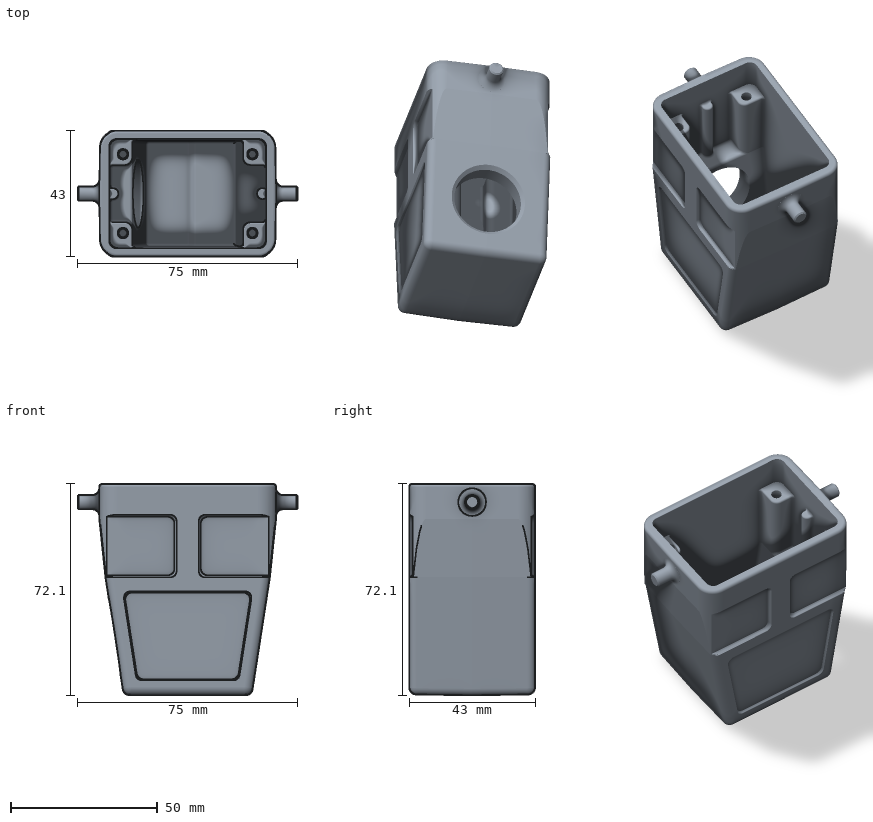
import cadquery as cq
import math

height = 72.1
half_width = 43.0 / 2
rim_half_length = 30.15
taper_start_z = 60.15
knee_z = 40.3
knee_half_length = 28.05
base_half_length = 21.8
parting_draft = 0.8
draft_allowance = 1.5
rim_corner_radius = 6.0
lower_edge_radius = 2.6
rim_round = 1.05
wall_slope = (knee_half_length - base_half_length) / knee_z
wall_angle = math.atan(wall_slope)

overall_length = 75.0
pin_radius = 2.5
pin_z = 65.85
pin_chamfer = 0.45
pin_flare = 2.25

recess_draft = 30.0
recess_corner_radius = 2.8
window_depth = 1.3
window_inner_x = 3.75
window_top_z = 61.6
window_bottom_z = 40.2
panel_depth = 0.75
panel_top_z = 35.5
panel_bottom_z = 5.1
panel_top_half = 22.1
panel_bottom_half = panel_top_half - (panel_top_z - panel_bottom_z) * wall_slope

cavity_half_length = 26.8
cavity_half_width = 18.7
cavity_corner_radius = 2.8
cavity_draft = 0.75
floor_round = 0.8
boss_thickness = 8.2
boss_ledge_z = 35.25
ledge_round = 1.0
low_floor_z = 3.15
high_floor_z = 5.25
step_start_x = 0.2
step_end_x = 2.5
far_wall_top_z = 48.0
far_wall_foot_x = 16.3

post_top_z = 60.75
post_face_x = 18.9
post_face_y = 9.75
post_corner_radius = 2.5
post_root_radius = 1.0
post_top_round = 0.6
ledge_root_radius = 0.9
screw_x = 22.05 - post_face_x
screw_y = 13.4 - post_face_y
screw_hole_radius = 1.8
screw_hole_draft = 1.4
screw_hole_depth = 15.0
rib_radius = 1.9
rib_x = 25.5
rib_base_radius = 0.75
rib_top_round = 0.5

entry_z = 20.25
entry_radius = 11.6
entry_chamfer = 1.35


def wall_x(z):
    """Half length of the outer lower wall at height z."""
    return base_half_length + wall_slope * z


def drafted_half(points):
    """Extrude an XZ outline from y = 0 toward -Y, shrinking it by the parting draft."""
    return cq.Workplane("XZ").polyline(points).close().extrude(half_width, taper=parting_draft)


def mirrored_in_x(right_points):
    """Close an outline given by its +X points, listed from bottom to top."""
    return right_points + [(-x, z) for x, z in reversed(right_points)]


def slab(bottom, top):
    """A block covering the whole part between two heights."""
    return (
        cq.Workplane("XY", origin=(0, 0, bottom))
        .rect(overall_length, overall_length)
        .extrude(top - bottom)
    )


def both_halves(half):
    """Join a -Y half to its mirror image."""
    return half.union(half.mirror("XZ"))


def box_in_each_corner(low, high):
    """Select edges centred in a box or in its mirror images across x = 0 and y = 0."""
    boxes = [
        cq.selectors.BoxSelector(
            (sign_x * low[0], sign_y * low[1], low[2]),
            (sign_x * high[0], sign_y * high[1], high[2]),
        )
        for sign_x in (1, -1)
        for sign_y in (1, -1)
    ]
    return boxes[0] + boxes[1] + boxes[2] + boxes[3]


def upper_shell():
    """Skirt whose tapering end walls cut into the round rim corners."""
    over_top_z = height + draft_allowance
    outline = mirrored_in_x([
        (base_half_length, 0), (knee_half_length, knee_z),
        (rim_half_length, taper_start_z), (rim_half_length, over_top_z),
    ])
    block = drafted_half(mirrored_in_x([(rim_half_length, 0), (rim_half_length, over_top_z)]))
    rounded_block = block.faces("<Y").edges("<X or >X").fillet(rim_corner_radius)
    half = drafted_half(outline).intersect(rounded_block).intersect(slab(knee_z, height))
    return both_halves(half).faces(">Z").edges().fillet(rim_round)


def lower_shell():
    """Wedge below the knee with every outer edge rounded."""
    top_z = knee_z + draft_allowance
    outline = mirrored_in_x([(base_half_length, 0), (wall_x(top_z), top_z)])
    half = drafted_half(outline).intersect(slab(0, knee_z))
    return both_halves(half.edges("not (>Y or >Z)").fillet(lower_edge_radius))


def open_space():
    """Cavity without its posts and ribs: a stepped floor and a ledge over the entry boss."""
    boss_shift = boss_thickness / math.cos(wall_angle)
    ledge_end_x = boss_shift - wall_x(boss_ledge_z)
    profile = [
        (-cavity_half_length, height),
        (-cavity_half_length, boss_ledge_z),
        (ledge_end_x, boss_ledge_z),
        (boss_shift - wall_x(low_floor_z), low_floor_z),
        (step_start_x, low_floor_z),
        (step_end_x, high_floor_z),
        (far_wall_foot_x, high_floor_z),
        (cavity_half_length, far_wall_top_z),
        (cavity_half_length, height),
    ]
    ledge_edge = cq.selectors.NearestToPointSelector((ledge_end_x, 0, boss_ledge_z))
    lengthwise = (
        cq.Workplane("XZ")
        .polyline(profile)
        .close()
        .extrude(half_width, both=True)
        .edges(ledge_edge)
        .fillet(ledge_round)
    )
    drafted_plan = (
        cq.Workplane("XY", origin=(0, 0, height))
        .rect(2 * cavity_half_length, 2 * cavity_half_width)
        .extrude(-height, taper=cavity_draft)
        .edges("not #Z")
        .fillet(cavity_corner_radius)
    )
    return lengthwise.intersect(drafted_plan)


def screw_posts():
    """Four corner posts, each with a blind tapered screw hole."""
    post = (
        cq.Workplane("XY")
        .center(post_face_x, post_face_y)
        .rect(cavity_half_length - post_face_x, half_width - post_face_y, centered=False)
        .extrude(post_top_z)
        .edges("|Z and <X and <Y")
        .fillet(post_corner_radius)
    )
    hole = (
        cq.Workplane("XY", origin=(post_face_x + screw_x, post_face_y + screw_y, post_top_z))
        .circle(screw_hole_radius)
        .extrude(-screw_hole_depth, taper=screw_hole_draft)
    )
    post = post.cut(hole)
    pair = post.union(post.mirror("YZ"))
    return pair.union(pair.mirror("XZ"))


def guide_ribs():
    """Half-round ribs on the inner end walls, rounded at the top."""
    return (
        cq.Workplane("XY")
        .pushPoints([(-rib_x, 0), (rib_x, 0)])
        .circle(rib_radius)
        .extrude(post_top_z)
        .faces(">Z")
        .edges()
        .fillet(rib_top_round)
    )


def cavity():
    """Open space inside the hood, with the posts and ribs left standing in it."""
    side_roots = box_in_each_corner((18.75, 17.25, 22.5), (19.5, 19.5, 56.25))
    end_roots = box_in_each_corner((26.25, 9.4, 37.5), (27, 10.1, 56.25))
    ledge_root = cq.selectors.BoxSelector(
        (-27, -post_face_y, boss_ledge_z - 0.4),
        (-25.5, post_face_y, boss_ledge_z + 0.4),
    )
    post_tops = box_in_each_corner((18.75, 12.3, post_top_z - 0.1), (19.5, 18, post_top_z + 0.1))
    floor_edges = cq.selectors.BoxSelector((-18, -half_width, 0), (18.4, half_width, high_floor_z + 0.75))
    rib_base = cq.selectors.BoxSelector(
        (-24.75, -rib_radius, boss_ledge_z - 0.4),
        (-23.25, rib_radius, boss_ledge_z + 0.4),
    )
    space = open_space().cut(screw_posts())
    space = space.edges(side_roots).fillet(post_root_radius)
    space = space.edges(end_roots).fillet(post_root_radius)
    space = space.edges(ledge_root).fillet(ledge_root_radius)
    space = space.edges(post_tops).fillet(post_top_round)
    space = space.edges(floor_edges).fillet(floor_round)
    return space.cut(guide_ribs()).edges(rib_base).fillet(rib_base_radius)


def locking_pins():
    """Round pins on both ends, flaring where they meet the wall."""
    wall = rim_half_length
    tip = overall_length / 2
    root = wall - pin_flare
    pin = (
        cq.Workplane("XY")
        .moveTo(root, 0)
        .lineTo(root, pin_radius + pin_flare)
        .lineTo(wall, pin_radius + pin_flare)
        .radiusArc((wall + pin_flare, pin_radius), -pin_flare)
        .lineTo(tip - pin_chamfer, pin_radius)
        .lineTo(tip, pin_radius - pin_chamfer)
        .lineTo(tip, 0)
        .close()
        .revolve(360, (0, 0, 0), (1, 0, 0))
        .translate((0, 0, pin_z))
    )
    return pin.union(pin.mirror("YZ"))


def face_recess(points, depth):
    """Recess in the -Y face with a round-cornered XZ outline and sloping sides."""
    return (
        cq.Workplane("XZ", origin=(0, -half_width, 0))
        .polyline(points)
        .close()
        .extrude(-depth, taper=recess_draft)
        .edges("not (>Y or <Y)")
        .fillet(recess_corner_radius)
    )


def recesses():
    """Two windows running out past the corners and one tapered panel, on both broad faces."""
    window = face_recess(
        [
            (window_inner_x, window_bottom_z), (overall_length / 2, window_bottom_z),
            (overall_length / 2, window_top_z), (window_inner_x, window_top_z),
        ],
        window_depth,
    )
    panel = face_recess(
        mirrored_in_x([(panel_bottom_half, panel_bottom_z), (panel_top_half, panel_top_z)]),
        panel_depth,
    )
    front = window.union(window.mirror("YZ")).union(panel)
    return front.union(front.mirror("XZ"))


def cable_entry():
    """Bore square to the -X wall, chamfered at its mouth."""
    mouth = cq.Plane(
        origin=(-wall_x(entry_z), 0, entry_z),
        xDir=(0, 1, 0),
        normal=(math.cos(wall_angle), 0, math.sin(wall_angle)),
    )
    bore = cq.Workplane(mouth).circle(entry_radius).extrude(boss_thickness + 0.75)
    lead_in = cq.Workplane(mouth).circle(entry_radius + entry_chamfer).extrude(entry_chamfer, taper=45)
    return bore.union(lead_in)


shell = upper_shell().union(lower_shell()).union(locking_pins())
result = shell.cut(recesses()).cut(cavity()).cut(cable_entry())